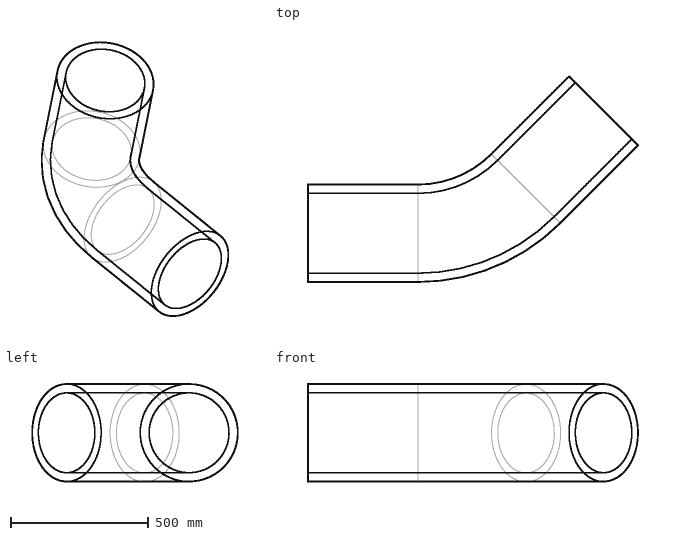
import cadquery as cq
import math

overall_length = 1201.0
outer_diameter = 355.0
inner_diameter = 291.0
leg_length = 400.0
bend_angle = 45.0

outer_radius = outer_diameter / 2
bend_sin = math.sin(math.radians(bend_angle))
bend_cos = math.cos(math.radians(bend_angle))
outlet_reach = leg_length * bend_cos + outer_radius * bend_sin
bend_radius = (overall_length - leg_length - outlet_reach) / bend_sin

bend_start = (leg_length, 0)
bend_end = (
    leg_length + bend_radius * bend_sin,
    bend_radius * (1 - bend_cos),
)
outlet_direction = (bend_cos, bend_sin, 0)


def pipe_section(origin, direction):
    """Ring-shaped pipe section at origin, facing along direction."""
    plane = cq.Plane(origin=(*origin, 0), xDir=(0, 0, 1), normal=direction)
    return cq.Workplane(plane).circle(outer_diameter / 2).circle(inner_diameter / 2)


inlet_leg = pipe_section((0, 0), (1, 0, 0)).extrude(leg_length)

bend = pipe_section(bend_start, (1, 0, 0)).revolve(
    bend_angle, (0, -bend_radius, 0), (1, -bend_radius, 0)
)

outlet_leg = pipe_section(bend_end, outlet_direction).extrude(leg_length)

result = inlet_leg.union(bend).union(outlet_leg)